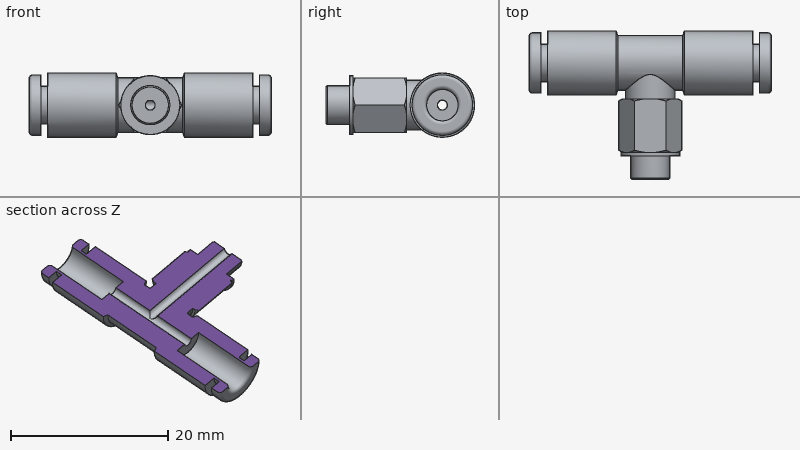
import cadquery as cq
import math

length = 30.8
half_length = length / 2
collar_width = 1.5
collar_radius = 3.85
collar_fillet = 0.45
neck_width = 0.83
neck_radius = 2.4
sleeve_length = 8.93
sleeve_radius = 4.1
shoulder_width = 0.22
middle_radius = 7.0 / 2

socket_radius = 2.0
socket_depth = 8.93
socket_mouth_fillet = 0.5
bore_radius = 0.62

stem_radius = 3.17
hex_start = 4.55
hex_end = 11.35
hex_across_flats = 6.95
hex_across_corners = hex_across_flats / math.cos(math.radians(30))
hex_edge_angle = 30
hex_face_radius = 3.55
flange_end = 11.8
flange_radius = 3.75
spigot_end = 14.8
spigot_radius = 2.5
spigot_chamfer = 0.2


def run_cylinder(radius, start, width):
    return cq.Workplane("YZ").workplane(offset=start).circle(radius).extrude(width)


def branch_cylinder(radius, start, end):
    return cq.Workplane("XZ").workplane(offset=start).circle(radius).extrude(end - start)


def run_end():
    """Sleeve with a conical shoulder, neck and rounded release collar at the +X end."""
    neck_start = half_length - collar_width - neck_width
    collar_start = half_length - collar_width
    sleeve_start = neck_start - sleeve_length
    sleeve = (
        cq.Workplane("XY")
        .polyline([
            (sleeve_start, 0),
            (sleeve_start, middle_radius),
            (sleeve_start + shoulder_width, sleeve_radius),
            (neck_start, sleeve_radius),
            (neck_start, 0),
        ])
        .close().revolve(360, (0, 0, 0), (1, 0, 0))
    )
    neck = run_cylinder(neck_radius, neck_start, neck_width)
    collar = run_cylinder(collar_radius, collar_start, collar_width)
    collar = collar.faces(">X").edges().fillet(collar_fillet)
    return sleeve.union(neck).union(collar)


def cut_socket(body, side):
    """Cut the tube socket at one end and round its mouth."""
    socket = run_cylinder(socket_radius, side * half_length, -side * socket_depth)
    body = body.cut(socket)
    end_face = ">X" if side > 0 else "<X"
    mouth = body.faces(end_face).edges(cq.selectors.RadiusNthSelector(0))
    return mouth.fillet(socket_mouth_fillet)


def hex_nut():
    """Hexagon with corners on X, its corners turned down at both ends."""
    hex_length = hex_end - hex_start
    blank = (
        cq.Workplane("XZ").workplane(offset=hex_start)
        .polygon(6, hex_across_corners).extrude(hex_length)
    )
    corner_radius = hex_across_corners / 2
    drop = (corner_radius - hex_face_radius) * math.tan(math.radians(hex_edge_angle))
    envelope = (
        cq.Workplane("XY")
        .polyline([
            (0, -hex_start),
            (hex_face_radius, -hex_start),
            (corner_radius, -hex_start - drop),
            (corner_radius, -hex_end + drop),
            (hex_face_radius, -hex_end),
            (0, -hex_end),
        ])
        .close().revolve(360, (0, 0, 0), (0, 1, 0))
    )
    return blank.intersect(envelope)


def branch():
    stem = branch_cylinder(stem_radius, 0, hex_start)
    flange = branch_cylinder(flange_radius, hex_end, flange_end)
    spigot = branch_cylinder(spigot_radius, flange_end, spigot_end)
    spigot = spigot.faces("<Y").chamfer(spigot_chamfer)
    return stem.union(hex_nut()).union(flange).union(spigot)


right_end = run_end()
left_end = right_end.mirror("YZ")
middle_half_length = half_length - collar_width - neck_width - sleeve_length
middle = run_cylinder(middle_radius, -middle_half_length, 2 * middle_half_length)

result = middle.union(right_end).union(left_end).union(branch())
for end_side in (-1, 1):
    result = cut_socket(result, end_side)
result = result.cut(run_cylinder(bore_radius, -half_length, length))
result = result.cut(branch_cylinder(bore_radius, 0, spigot_end))